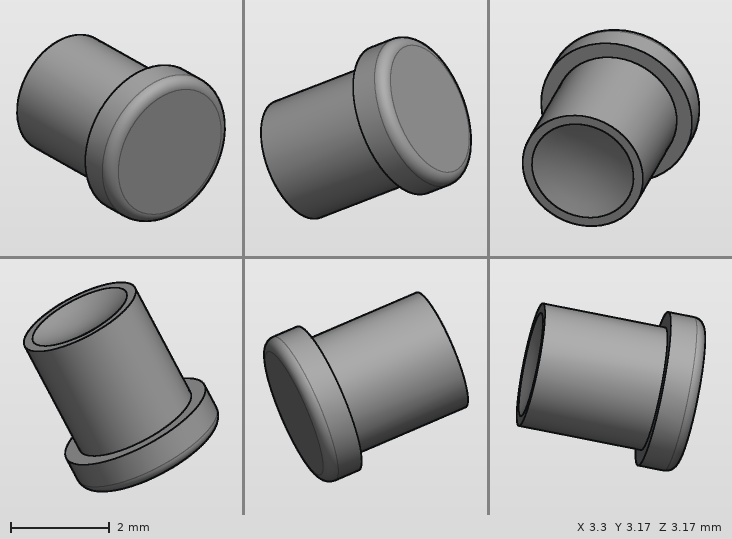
import cadquery as cq

shank_diameter = 2.53
shank_length = 2.54
head_diameter = 3.17
head_thickness = 0.762
head_edge_radius = 0.23
dish_diameter = 2.134
dish_depth = 0.22

shank_radius = shank_diameter / 2
head_radius = head_diameter / 2
dish_rim_radius = dish_diameter / 2
overall_length = shank_length + head_thickness

dish_sphere_radius = (dish_rim_radius**2 + dish_depth**2) / (2 * dish_depth)
dish_sphere_center_x = dish_depth - dish_sphere_radius


def dish_point(radius):
    """Point (x, radius) on the spherical dish surface."""
    return (dish_sphere_center_x + (dish_sphere_radius**2 - radius**2) ** 0.5, radius)


def make_plug():
    """Revolve the half section, drawn as (x, radius), a full turn about X."""
    section = (
        cq.Workplane("XZ")
        .moveTo(dish_depth, 0)
        .threePointArc(dish_point(dish_rim_radius / 2), (0, dish_rim_radius))
        .lineTo(0, shank_radius)
        .lineTo(shank_length, shank_radius)
        .lineTo(shank_length, head_radius)
        .lineTo(overall_length - head_edge_radius, head_radius)
        .radiusArc((overall_length, head_radius - head_edge_radius), head_edge_radius)
        .lineTo(overall_length, 0)
        .close()
    )
    return section.revolve(360, (0, 0, 0), (1, 0, 0))


result = make_plug()